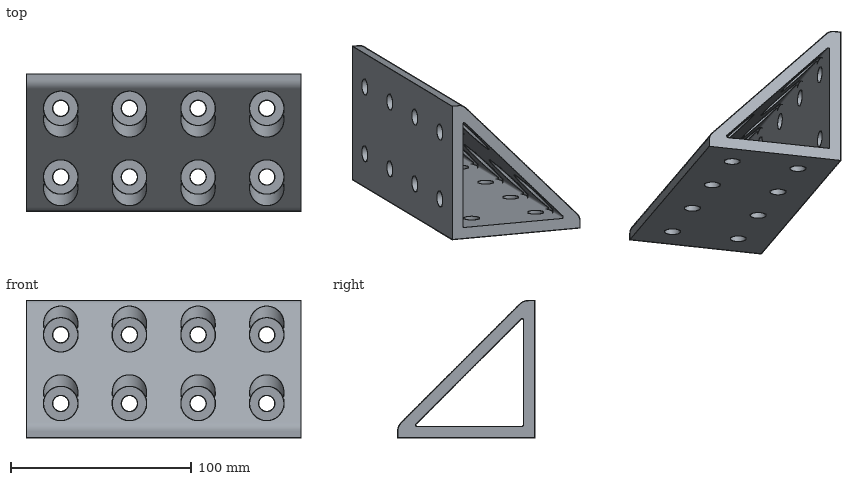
import cadquery as cq
import math

length = 152.4
leg = 76.2
wall = 6.4
nose_setback = 6.4
nose_radius = 6.4
inner_radius = 0.8
pitch = 38.1
bolt_diameter = 8.8
access_diameter = 19.0
columns = 4
rows = 2

outer_triangle = leg + nose_setback
inner_triangle = outer_triangle - wall * math.sqrt(2)

column_places = [pitch * (i + 0.5) for i in range(columns)]
row_places = [pitch * (i + 0.5) for i in range(rows)]


def prism(points):
    """Extrude a (Y, Z) outline over the whole length in X."""
    return cq.Workplane("YZ").polyline(points).close().extrude(length)


def frame():
    """Hollow triangular profile with rounded noses at the ends of the legs."""
    upper_nose = (leg - nose_setback, leg)
    lower_nose = (0, nose_setback)
    body = prism([(leg, 0), (leg, leg), upper_nose, lower_nose, (0, 0)])
    for y, z in (upper_nose, lower_nose):
        nose_edge = cq.selectors.NearestToPointSelector((length / 2, y, z))
        body = body.edges(nose_edge).fillet(nose_radius)

    opening = prism([
        (leg - wall, wall),
        (leg - wall, inner_triangle - wall),
        (leg - inner_triangle + wall, wall),
    ])
    return body.cut(opening.edges("|X").fillet(inner_radius))


def stepped_hole(start, direction):
    """Bolt hole through a plate, widening to the access bore from its inner face onwards."""
    start = cq.Vector(*start)
    direction = cq.Vector(*direction)
    inner_face = start + direction * wall
    bolt = cq.Solid.makeCylinder(bolt_diameter / 2, leg, start, direction)
    access = cq.Solid.makeCylinder(access_diameter / 2, leg, inner_face, direction)
    return bolt.fuse(access)


result = frame()
for x in column_places:
    for row in row_places:
        result = result.cut(stepped_hole((x, row, 0), (0, 0, 1)))
        result = result.cut(stepped_hole((x, leg, row), (0, -1, 0)))